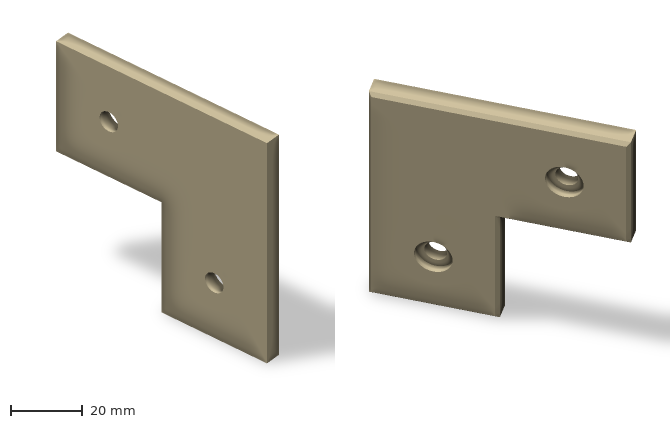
import cadquery as cq

side = 76.2
thickness = 6.3
edge_chamfer = 1.1
hole_diameter = 6.6
bore_diameter = 11.2
bore_depth = 2.5

arm_width = side / 2
hole_inset = arm_width / 2

outline = [
    (0, arm_width),
    (arm_width, arm_width),
    (arm_width, 0),
    (side, 0),
    (side, side),
    (0, side),
]
hole_centres = [
    (hole_inset, side - hole_inset),
    (side - hole_inset, hole_inset),
]

plate = cq.Workplane("XZ").polyline(outline).close().extrude(-thickness)
plate = plate.faces(">Y").edges().chamfer(edge_chamfer)

result = (
    plate.faces(">Y")
    .workplane(origin=(0, thickness, 0))
    .pushPoints([(-x, z) for x, z in hole_centres])
    .cboreHole(hole_diameter, bore_diameter, bore_depth)
)